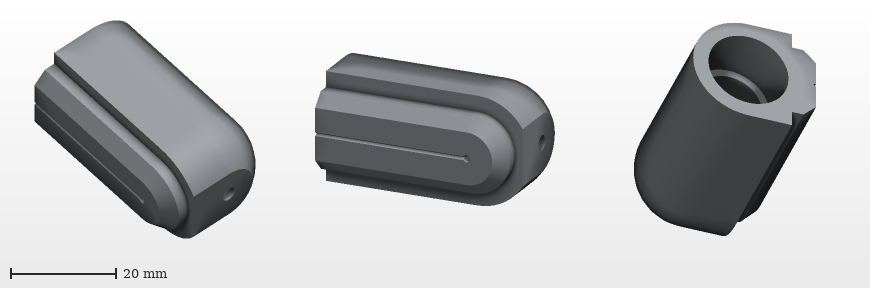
import cadquery as cq
import math

length = 41.25
body_radius = 11.2
straight_length = 31.75
ridge_distance = 13.7

ridge_height = 4.85
ridge_half_width = 7.92
ridge_chamfer = 2.55
ridge_front = -ridge_distance
body_front = ridge_front + ridge_height

mouth_radius = 8.1
mouth_depth = 10.8
step_radius = 6.55
step_depth = 16.5
cone_radius = 5.65
cone_length = 10.95
cone_end = step_depth + cone_length
outlet_radius = 1.55

hole_radius = 0.75
groove_half_width = 0.37
groove_angle = 60.0
groove_depth = groove_half_width / math.tan(math.radians(groove_angle / 2))


def half_round_slab(radius, y_front, y_back):
    """Slab along X with a half-round far end, lying between two Y planes."""
    bar = cq.Workplane("XY").box(
        straight_length, y_back - y_front, 2 * radius, centered=(False, False, True)
    )
    bar = bar.translate((0, y_front, 0))
    end = cq.Workplane("XZ", origin=(straight_length, y_back, 0)).circle(radius)
    return bar.union(end.extrude(y_back - y_front))


def make_body():
    """Round-backed body with a ball end, cut flat at the outlet."""
    body = half_round_slab(body_radius, body_front, 0)
    body = body.union(cq.Workplane("YZ").circle(body_radius).extrude(straight_length))
    ball = cq.Workplane("XY").sphere(body_radius).translate((straight_length, 0, 0))
    body = body.union(ball)
    envelope = cq.Workplane("XY").box(
        length, body_radius - body_front, 2 * body_radius, centered=(False, False, True)
    )
    return body.intersect(envelope.translate((0, body_front, 0)))


def make_ridge():
    """Half-round ridge, chamfered along its sides and around its far end."""
    ridge = half_round_slab(ridge_half_width, ridge_front, 0)
    rim = ridge.faces("<Y").edges("not(<X)")
    return rim.chamfer(ridge_chamfer)


def make_bore():
    """Two counterbores, a cone and the outlet, all about the X axis."""
    profile = [
        (0, 0),
        (0, mouth_radius),
        (mouth_depth, mouth_radius),
        (mouth_depth, step_radius),
        (step_depth, step_radius),
        (step_depth, cone_radius),
        (cone_end, outlet_radius),
        (length, outlet_radius),
        (length, 0),
    ]
    return cq.Workplane("XY").polyline(profile).close().revolve(360, (0, 0, 0), (1, 0, 0))


def make_hole():
    """Cross hole from the ridge face into the outlet."""
    start = cq.Workplane("XZ", origin=(straight_length, 0, 0))
    return start.circle(hole_radius).extrude(ridge_distance)


def make_groove():
    """V groove along the ridge face, from the open end to the cross hole."""
    section = [
        (ridge_front, groove_half_width),
        (ridge_front + groove_depth, 0),
        (ridge_front, -groove_half_width),
    ]
    return cq.Workplane("YZ").polyline(section).close().extrude(straight_length)


result = make_body().union(make_ridge()).cut(make_bore()).cut(make_hole()).cut(make_groove())